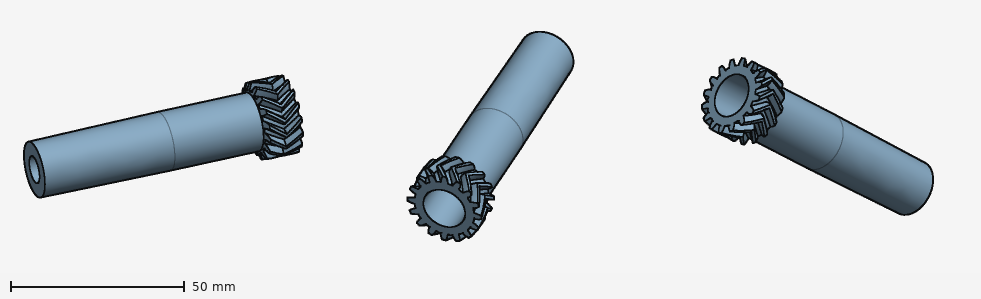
import cadquery as cq
import math

total_length = 78.6
straight_end = 38.7
shaft_diameter = 17.4
taper_end_diameter = 16.5

narrow_bore_diameter = 8.0
narrow_bore_depth = 3.9
wide_bore_diameter = 13.0

gear_width = 11.2
apex_depth = 5.0
chamfer_length = 1.2
tooth_count = 16
tip_diameter = 22.9
root_diameter = 18.55
middle_diameter = (tip_diameter + root_diameter) / 2
helix_angle = 35
apex_tooth_angle = 93.5

tip_tooth_angle = 6.0
middle_tooth_angle = 10.7
root_tooth_angle = 13.8


def polar(diameter, angle):
    radius = diameter / 2
    return radius * math.cos(math.radians(angle)), radius * math.sin(math.radians(angle))


def revolved_about_axis(profile):
    """Solid of revolution about Y; the profile is (radius, Y) points from the back face forward."""
    front_y = profile[-1][1]
    outline = [(0, 0)] + profile + [(0, front_y)]
    return cq.Workplane("XY").polyline(outline).close().revolve(360, (0, 0, 0), (0, 1, 0))


def gear_section(start_angle):
    """Closed tooth outline on the XZ plane, with one tooth centred on start_angle."""
    pitch_angle = 360 / tooth_count
    section = cq.Workplane("XZ", origin=(0, -apex_depth, 0))
    section = section.moveTo(*polar(root_diameter, start_angle - root_tooth_angle / 2))
    for tooth in range(tooth_count):
        centre = start_angle + tooth * pitch_angle
        next_root = centre + pitch_angle - root_tooth_angle / 2
        section = section.threePointArc(
            polar(middle_diameter, centre - middle_tooth_angle / 2),
            polar(tip_diameter, centre - tip_tooth_angle / 2),
        )
        section = section.threePointArc(
            polar(tip_diameter, centre),
            polar(tip_diameter, centre + tip_tooth_angle / 2),
        )
        section = section.threePointArc(
            polar(middle_diameter, centre + middle_tooth_angle / 2),
            polar(root_diameter, centre + root_tooth_angle / 2),
        )
        section = section.threePointArc(
            polar(root_diameter, centre + pitch_angle / 2),
            polar(root_diameter, next_root),
        )
    return section.close()


def twist_over(length):
    """Angle in degrees that the helix turns over the given length."""
    return math.degrees(length * math.tan(math.radians(helix_angle)) / (middle_diameter / 2))


def gear():
    front_width = gear_width - apex_depth
    front = gear_section(apex_tooth_angle).twistExtrude(front_width, twist_over(front_width))
    back = gear_section(apex_tooth_angle).twistExtrude(-apex_depth, -twist_over(apex_depth))
    blank = revolved_about_axis([
        (tip_diameter / 2, 0),
        (tip_diameter / 2, chamfer_length - gear_width),
        (shaft_diameter / 2, -gear_width),
    ])
    return front.union(back).intersect(blank)


def shaft():
    return revolved_about_axis([
        (shaft_diameter / 2, 0),
        (shaft_diameter / 2, -straight_end),
        (taper_end_diameter / 2, -total_length),
    ])


def bore():
    wide_length = total_length - narrow_bore_depth
    narrow = cq.Workplane("XZ").circle(narrow_bore_diameter / 2).extrude(total_length)
    wide = cq.Workplane("XZ").circle(wide_bore_diameter / 2).extrude(wide_length)
    return narrow.union(wide)


result = shaft().union(gear()).cut(bore())